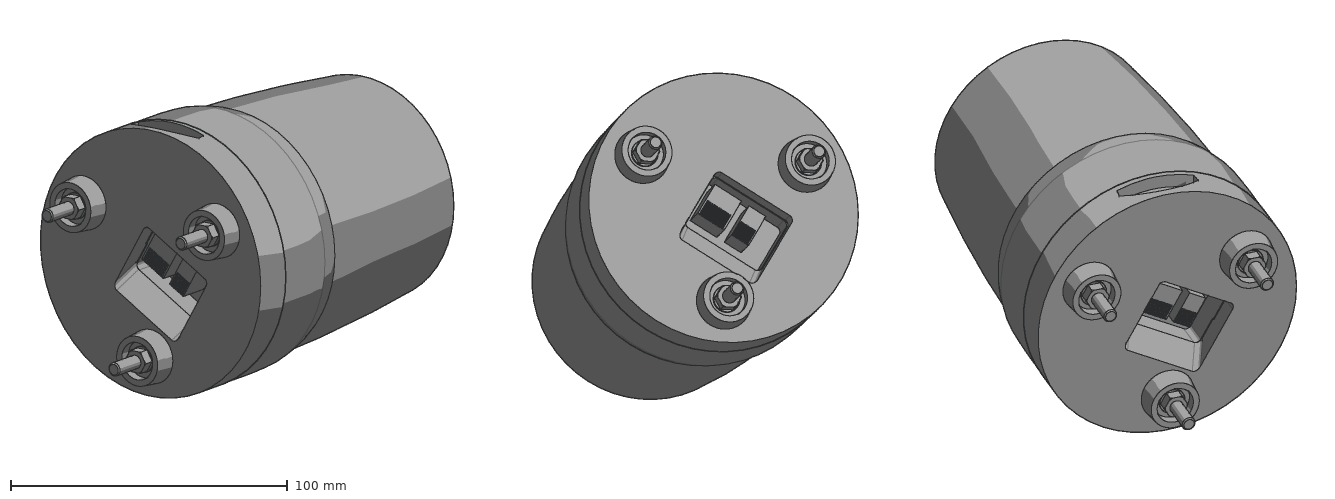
import cadquery as cq
import math


base_radius = 50.0
base_height = 15.1
skirt_base_radius = 49.8
skirt_mid_radius = 49.9
skirt_top_radius = 49.5
skirt_top = 39.0
lens_base_radius = 47.0
lens_base = 48.2
shoulder_bulge = 0.35
lens_rim_radius = 41.7
lens_rim = 126.3
lens_bulge = 0.9
body_height = 138.0

notch_floor_radius = 45.0
notch_front = 3.0
notch_widest = 8.7
notch_back_side = 12.2
notch_back_middle = 12.7
notch_front_half_width = 15.3
notch_back_half_width = 14.8

pocket_angle = math.radians(30)
u_direction = cq.Vector(math.cos(pocket_angle), 0, -math.sin(pocket_angle))
v_direction = cq.Vector(math.sin(pocket_angle), 0, math.cos(pocket_angle))
pocket_left = -8.9
pocket_right = 24.0
pocket_bottom = -11.0
pocket_top = 10.9
pocket_depth = 18.0
pocket_corner_radius = 2.0
ledge_depth = 7.3
ledge_width = 0.35
ramp_bottom = -18.8
ramp_depth = 8.0

terminal_spans = ((-6.6, 4.8), (8.0, 15.2))
terminal_bottom = -5.0
terminal_step = 0.9
terminal_top = 7.6
terminal_face_depth = 5.5
terminal_slot_pitch = 0.95
terminal_slot_width = terminal_slot_pitch / 2
terminal_slot_depth = 1.0

foot_count = 3
foot_first_angle = 30.0
foot_circle_radius = 35.0
foot_base_radius = 10.1
foot_end_radius = 9.3
foot_height = 8.0
foot_bore_radius = 7.0
washer_radius = 4.85
washer_thickness = 1.0
nut_across_flats = 8.0
nut_height = 4.0
nut_end = 9.1
nut_chamfer = 0.4
stud_radius = 2.5
stud_end = 22.0
stud_chamfer = 0.5

overlap = 1.0


def bulged_midpoint(start, end, bulge):
    """Point beside the middle of a chord, pushed outward from the Y axis by the bulge."""
    along_radius = end[0] - start[0]
    along_axis = end[1] - start[1]
    length = math.hypot(along_radius, along_axis)
    middle_radius = (start[0] + end[0]) / 2 + bulge * along_axis / length
    middle_axis = (start[1] + end[1]) / 2 - bulge * along_radius / length
    return middle_radius, middle_axis


def make_body():
    """Base, skirt, shoulder, lens and dome turned about Y."""
    skirt_middle = (skirt_mid_radius, (base_height + skirt_top) / 2)
    shoulder_start = (skirt_top_radius, skirt_top)
    lens_start = (lens_base_radius, lens_base)
    lens_end = (lens_rim_radius, lens_rim)
    dome_rise = body_height - lens_rim
    dome_radius = (lens_rim_radius**2 + dome_rise**2) / (2 * dome_rise)
    dome_middle_radius = lens_rim_radius / 2
    dome_middle_axis = body_height - dome_radius + math.sqrt(dome_radius**2 - dome_middle_radius**2)
    profile = (
        cq.Workplane("XY")
        .lineTo(base_radius, 0)
        .lineTo(base_radius, base_height)
        .lineTo(skirt_base_radius, base_height)
        .threePointArc(skirt_middle, shoulder_start)
        .threePointArc(bulged_midpoint(shoulder_start, lens_start, shoulder_bulge), lens_start)
        .threePointArc(bulged_midpoint(lens_start, lens_end, lens_bulge), lens_end)
        .threePointArc((dome_middle_radius, dome_middle_axis), (0, body_height))
        .close()
    )
    return profile.revolve(360, (0, 0, 0), (0, 1, 0))


def make_notch():
    """Shield-shaped cut down to a floor concentric with the base."""
    outline = (
        cq.Workplane("XY")
        .moveTo(-notch_back_half_width, notch_back_side)
        .lineTo(-notch_front_half_width, notch_widest)
        .threePointArc((0, notch_front), (notch_front_half_width, notch_widest))
        .lineTo(notch_back_half_width, notch_back_side)
        .threePointArc((0, notch_back_middle), (-notch_back_half_width, notch_back_side))
        .close()
        .extrude(base_radius + overlap)
    )
    core = cq.Workplane("XZ").circle(notch_floor_radius).extrude(-base_height)
    return outline.cut(core)


def pocket_block(left, right, bottom, top, shallow, deep):
    """Box spanning u, v and depth in the frame of the pocket."""
    plane = cq.Plane((0, shallow, 0), u_direction, (0, -1, 0))
    return (
        cq.Workplane(plane)
        .center((left + right) / 2, (bottom + top) / 2)
        .rect(right - left, top - bottom)
        .extrude(shallow - deep)
    )


def make_pocket():
    """Round-cornered well, narrowed by a ledge on three sides, with an entry ramp on its lower side."""
    mouth = pocket_block(pocket_left, pocket_right, pocket_bottom, pocket_top, 0, ledge_depth)
    well = pocket_block(
        pocket_left + ledge_width,
        pocket_right - ledge_width,
        pocket_bottom,
        pocket_top - ledge_width,
        0,
        pocket_depth,
    )
    mouth = mouth.edges("|Y").fillet(pocket_corner_radius)
    well = well.edges("|Y").fillet(pocket_corner_radius)

    run_per_depth = (pocket_bottom - ramp_bottom) / ramp_depth
    outer_v = ramp_bottom - overlap * run_per_depth
    middle_v = (pocket_bottom + pocket_top) / 2
    ramp_plane = cq.Plane(u_direction * pocket_left, v_direction, u_direction)
    ramp = (
        cq.Workplane(ramp_plane)
        .moveTo(outer_v, overlap)
        .lineTo(pocket_bottom, -ramp_depth)
        .lineTo(middle_v, -ramp_depth)
        .lineTo(middle_v, overlap)
        .close()
        .extrude(pocket_right - pocket_left)
    )
    ramp_middle = (
        u_direction * ((pocket_left + pocket_right) / 2)
        + v_direction * ((ramp_bottom + pocket_bottom) / 2)
        + cq.Vector(0, ramp_depth / 2, 0)
    )
    ramp_face = ramp.faces(cq.selectors.NearestToPointSelector(ramp_middle.toTuple()))
    ramp = ramp_face.edges("not(#Y)").fillet(pocket_corner_radius)
    return well.union(mouth).union(ramp)


def make_terminal(left, right):
    """Terminal block with a plain upper half and a row of narrow wire slots below it."""
    block = pocket_block(
        left, right, terminal_bottom, terminal_top, terminal_face_depth, pocket_depth + overlap
    )
    slot_count = int((right - left) / terminal_slot_pitch)
    first_slot = (left + right - (slot_count - 1) * terminal_slot_pitch - terminal_slot_width) / 2
    for index in range(slot_count):
        slot_left = first_slot + index * terminal_slot_pitch
        slot = pocket_block(
            slot_left,
            slot_left + terminal_slot_width,
            terminal_bottom,
            terminal_step,
            terminal_face_depth,
            terminal_face_depth + terminal_slot_depth,
        )
        block = block.cut(slot)
    return block


def make_foot():
    """Tapered rubber foot with a bored end holding a washer, a nut and a stud, on the Y axis."""
    nut_base = nut_end - nut_height
    bore_floor = nut_base - washer_thickness
    sleeve = (
        cq.Workplane("XY")
        .moveTo(0, overlap)
        .lineTo(foot_base_radius, overlap)
        .lineTo(foot_base_radius, 0)
        .lineTo(foot_end_radius, -foot_height)
        .lineTo(foot_bore_radius, -foot_height)
        .lineTo(foot_bore_radius, -bore_floor)
        .lineTo(0, -bore_floor)
        .close()
        .revolve(360, (0, 0, 0), (0, 1, 0))
    )
    washer = cq.Workplane("XZ", origin=(0, -bore_floor, 0)).circle(washer_radius).extrude(washer_thickness)
    corner_diameter = nut_across_flats / math.cos(math.pi / 6)
    nut = cq.Workplane("XZ", origin=(0, -nut_base, 0)).polygon(6, corner_diameter).extrude(nut_height)
    nut_limit = (
        cq.Workplane("XZ", origin=(0, -nut_base, 0))
        .circle(corner_diameter / 2)
        .extrude(nut_height)
        .faces("<Y")
        .chamfer(nut_chamfer)
    )
    nut = nut.intersect(nut_limit)
    stud = cq.Workplane("XZ").circle(stud_radius).extrude(stud_end).faces("<Y").chamfer(stud_chamfer)
    return sleeve.union(washer).union(nut).union(stud)


result = make_body().cut(make_notch()).cut(make_pocket())

for terminal_left, terminal_right in terminal_spans:
    result = result.union(make_terminal(terminal_left, terminal_right))

foot = make_foot()
for foot_index in range(foot_count):
    foot_angle = math.radians(foot_first_angle + foot_index * 360 / foot_count)
    foot_x = foot_circle_radius * math.cos(foot_angle)
    foot_z = foot_circle_radius * math.sin(foot_angle)
    result = result.union(foot.translate((foot_x, 0, foot_z)))